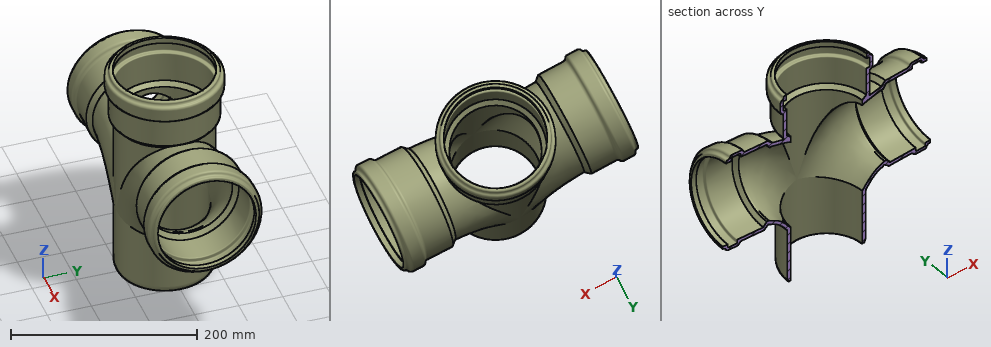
import cadquery as cq
import math


total_height = 258.0
pipe_radius = 110.1 / 2
bore_radius = 99.1 / 2
spigot_round_length = 7.0
spigot_end_radius = 52.8

branch_height = 83.0
branch_reach = 78.29
branch_rise = 64.4
mitre_tilt = 11.7
branch_start_angle = 36.0
branch_arrival_angle = 78.0
branch_socket_angle = 87.5

socket_outer_radius = 120.6 / 2
socket_bore_radius = 110.4 / 2
collar_radius = 129.0 / 2
groove_radius = 120.4 / 2
groove_fillet = 1.25
lip_bore_radius = 111.2 / 2
lip_outer_radius = 59.9
rim_fillet = 1.9

socket_length = 64.0
collar_start_depth = 8.1
collar_end_depth = 20.3
neck_depth = 27.3
outer_seat_depth = 58.0
groove_top_depth = 7.5
groove_bottom_depth = 20.1
inner_seat_start_depth = 56.5
inner_seat_end_depth = 61.0

overrun = 1.0

run_length = total_height - socket_length


def direction(angle):
    """Unit vector in the XZ plane at an angle from vertical, leaning to +X."""
    tilt = math.radians(angle)
    return cq.Vector(math.sin(tilt), 0, math.cos(tilt))


def section_plane(origin, angle):
    """Plane square to direction(angle), with its local X toward the inside of the bend."""
    return cq.Plane(origin, direction(angle + 90), direction(angle))


branch_start = cq.Vector(0, 0, branch_height)
branch_end = branch_start + cq.Vector(branch_reach, 0, branch_rise)
mitre_plane = section_plane(branch_start, mitre_tilt)
branch_socket_plane = section_plane(branch_end, branch_socket_angle)
run_socket_plane = cq.Plane((0, 0, run_length))


def revolve_about_z(outline):
    return outline.close().revolve(360, (0, 0, 0), (0, 1, 0))


def place(solid, plane):
    """Move a solid built at the origin onto a plane, its Z along the plane normal."""
    return cq.Workplane(solid.val().moved(cq.Location(plane)))


def socket_point(radius, depth):
    """Point of a socket outline; the socket base is at the origin, the mouth faces +Z."""
    return (radius, socket_length - depth)


def s_curve(outline, start, end):
    """Add two equal tangent arcs from start to end, both ends parallel to the axis."""
    middle = ((start[0] + end[0]) / 2, (start[1] + end[1]) / 2)
    outline = outline.tangentArcPoint(middle, relative=False)
    return outline.tangentArcPoint(end, relative=False)


def groove_wall(outline, start_radius, end_radius, depth):
    """Add a flat groove wall at a depth, blended into both bores by quarter arcs."""
    step = math.copysign(groove_fillet, end_radius - start_radius)
    return (
        outline
        .lineTo(*socket_point(start_radius, depth - groove_fillet))
        .tangentArcPoint(socket_point(start_radius + step, depth), relative=False)
        .lineTo(*socket_point(end_radius - step, depth))
        .tangentArcPoint(socket_point(end_radius, depth + groove_fillet), relative=False)
    )


def socket_outside():
    """Solid outer shape of a socket: rounded rim, collar, neck and cone to the pipe."""
    lip = socket_point(lip_outer_radius, rim_fillet)
    collar_start = socket_point(collar_radius, collar_start_depth)
    collar_end = socket_point(collar_radius, collar_end_depth)
    neck = socket_point(socket_outer_radius, neck_depth)
    outline = cq.Workplane("XZ").moveTo(*socket_point(0, 0))
    outline = outline.lineTo(*socket_point(lip_outer_radius - rim_fillet, 0))
    outline = outline.tangentArcPoint(lip, relative=False)
    outline = s_curve(outline, lip, collar_start)
    outline = outline.lineTo(*collar_end)
    outline = s_curve(outline, collar_end, neck)
    outline = outline.lineTo(*socket_point(socket_outer_radius, outer_seat_depth))
    outline = outline.lineTo(pipe_radius, 0).lineTo(0, 0)
    return revolve_about_z(outline)


def socket_inside():
    """Cavity of a socket: lip, seal groove, bore and conical pipe seat."""
    outline = cq.Workplane("XZ").moveTo(*socket_point(0, -overrun))
    outline = outline.lineTo(*socket_point(lip_bore_radius, -overrun))
    outline = groove_wall(outline, lip_bore_radius, groove_radius, groove_top_depth)
    outline = groove_wall(outline, groove_radius, socket_bore_radius, groove_bottom_depth)
    outline = (
        outline
        .lineTo(*socket_point(socket_bore_radius, inner_seat_start_depth))
        .lineTo(*socket_point(bore_radius, inner_seat_end_depth))
        .lineTo(bore_radius, 0)
        .lineTo(0, 0)
    )
    return revolve_about_z(outline)


def run_outside():
    """Solid straight run below the top socket, rounded in at the spigot end."""
    outline = (
        cq.Workplane("XZ")
        .moveTo(0, run_length)
        .lineTo(pipe_radius, run_length)
        .lineTo(pipe_radius, spigot_round_length)
        .tangentArcPoint((spigot_end_radius, 0), relative=False)
        .lineTo(0, 0)
    )
    return revolve_about_z(outline)


def run_inside():
    bore_start = cq.Workplane("XY", origin=(0, 0, -overrun))
    return bore_start.circle(bore_radius).extrude(run_length + overrun)


def branch_rod(radius):
    """Rod of the +X branch, from the mitre ellipse on the run to its round socket end."""
    axis = cq.Edge.makeSpline(
        [branch_start, branch_end],
        tangents=[direction(branch_start_angle), direction(branch_arrival_angle)],
    )
    path = cq.Workplane(cq.Wire.assembleEdges([axis]))
    mitre_half_length = radius / math.cos(math.radians(mitre_tilt))
    sections = cq.Workplane(mitre_plane).ellipse(mitre_half_length, radius)
    round_end = cq.Workplane(branch_socket_plane).circle(radius)
    sections.ctx.pendingWires += round_end.ctx.pendingWires
    return sections.sweep(path, multisection=True)


def branch(radius, socket):
    """The +X branch with its socket; the rod is kept to its own side of the run axis."""
    size = 2 * total_height
    own_side = cq.Workplane("XY").box(size, size, size, centered=(False, True, True))
    rod = branch_rod(radius).intersect(own_side)
    return rod.union(place(socket, branch_socket_plane))


def fitting(run, radius, socket):
    """Join a run, its top socket and both branches into one solid."""
    one_branch = branch(radius, socket)
    body = run.union(place(socket, run_socket_plane))
    return body.union(one_branch).union(one_branch.mirror("YZ"))


outside = fitting(run_outside(), pipe_radius, socket_outside())
inside = fitting(run_inside(), bore_radius, socket_inside())
result = outside.cut(inside)